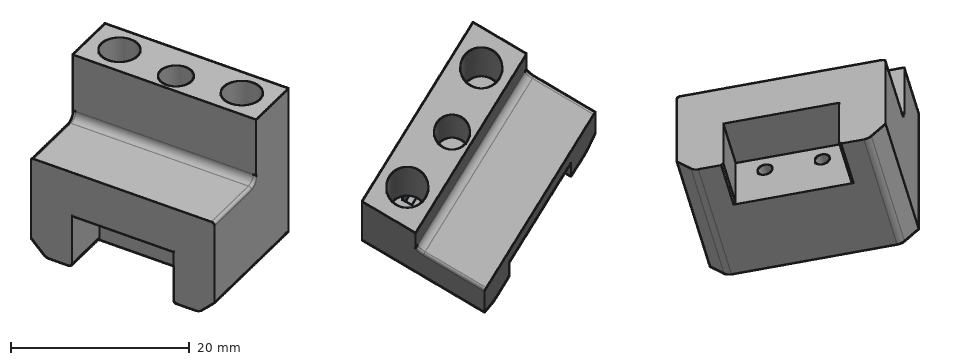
import cadquery as cq
import math

width = 24.0
depth = 16.0
height = 21.7

upright_thickness = 7.0
ledge_height = 13.0
corner_fillet = 1.0

ledge_edge_round = 0.4
taper_end_drop = 0.02
waste_margin = 0.25

bottom_chamfer = 2.0
bottom_chamfer_round = 1.2

slot_width = 13.3
slot_height = 7.0
slot_depth = 6.0
slot_edge_chamfer = 0.25

side_hole_diameter = 4.7
side_hole_spacing = 15.98
side_hole_from_back = 3.5
side_hole_floor = slot_height
middle_hole_diameter = 4.0
middle_hole_from_back = 4.5
middle_hole_floor = 10.0

pocket_from_back = 2.0
pocket_thickness = 1.3
pocket_floor = 3.0

small_hole_diameter = 1.7
small_hole_spacing = 6.58
small_hole_height = 5.0

half_width = width / 2
wall_y = depth - upright_thickness
fillet_start_y = wall_y - corner_fillet
fillet_center_z = ledge_height + corner_fillet


def make_body():
    """L-shaped block with a filleted inner corner and bevelled bottom edges."""
    fillet_mid_y = fillet_start_y + corner_fillet * math.sin(math.pi / 4)
    fillet_mid_z = fillet_center_z - corner_fillet * math.cos(math.pi / 4)
    body = (
        cq.Workplane("YZ", origin=(-half_width, 0, 0))
        .lineTo(depth, 0)
        .lineTo(depth, height)
        .lineTo(wall_y, height)
        .lineTo(wall_y, fillet_center_z)
        .threePointArc((fillet_mid_y, fillet_mid_z), (fillet_start_y, ledge_height))
        .lineTo(0, ledge_height)
        .close()
        .extrude(width)
    )
    body = body.edges("|Y and <Z").chamfer(bottom_chamfer)
    return body.faces("<Z").edges("|Y").fillet(bottom_chamfer_round)


def round_waste(sketch, drop):
    """Outline of the waste outside an edge round, with the sharp edge at the sketch origin.

    The round is always ledge_edge_round wide and reaches the given drop down the side face.
    """
    return (
        sketch.moveTo(ledge_edge_round, 0)
        .ellipseArc(ledge_edge_round, drop, 90, 180)
        .lineTo(-waste_margin, -drop)
        .lineTo(-waste_margin, waste_margin)
        .lineTo(ledge_edge_round, waste_margin)
        .close()
    )


def make_edge_waste():
    """Waste along the left ledge edge; it tapers off up the inner corner fillet."""
    straight = round_waste(
        cq.Workplane("XZ", origin=(-half_width, 0, ledge_height)), ledge_edge_round
    ).extrude(-fillet_start_y)

    ledge_end = cq.Plane((-half_width, fillet_start_y, ledge_height), (1, 0, 0), (0, -1, 0))
    wall_end = cq.Plane((-half_width, wall_y, fillet_center_z), (1, 0, 0), (0, 0, -1))
    path = (
        cq.Workplane("YZ", origin=(-half_width, 0, 0))
        .moveTo(fillet_start_y, ledge_height)
        .radiusArc((wall_y, fillet_center_z), -corner_fillet)
    )
    ledge_wire = round_waste(cq.Workplane(ledge_end), ledge_edge_round).val()
    wall_wire = round_waste(cq.Workplane(wall_end), taper_end_drop).val()
    tapered = cq.Solid.sweep_multi([ledge_wire, wall_wire], path.val())
    return straight.union(cq.Workplane(tapered))


def make_slot():
    """Slot with small bevels where its sides meet the bottom."""
    half_slot = slot_width / 2
    half_mouth = half_slot + slot_edge_chamfer
    return (
        cq.Workplane("XZ")
        .moveTo(-half_mouth, 0)
        .lineTo(half_mouth, 0)
        .lineTo(half_slot, slot_edge_chamfer)
        .lineTo(half_slot, slot_height)
        .lineTo(-half_slot, slot_height)
        .lineTo(-half_slot, slot_edge_chamfer)
        .close()
        .extrude(-slot_depth)
    )


def make_top_hole(x, from_back, diameter, floor):
    """Vertical hole from the top face down to the given floor height."""
    return (
        cq.Workplane("XY", origin=(x, depth - from_back, floor))
        .circle(diameter / 2)
        .extrude(height - floor)
    )


def make_cross_pocket():
    """Closed rectangular pocket that joins the floors of the two side holes."""
    front_y = depth - pocket_from_back - pocket_thickness
    pocket_height = side_hole_floor - pocket_floor
    return cq.Workplane("XY", origin=(0, front_y, pocket_floor)).box(
        slot_width, pocket_thickness, pocket_height, centered=(True, False, False)
    )


def make_small_hole(x):
    """Horizontal hole from the slot's back wall to the far side of the pocket."""
    length = depth - pocket_from_back - slot_depth
    return (
        cq.Workplane("XZ", origin=(x, slot_depth, small_hole_height))
        .circle(small_hole_diameter / 2)
        .extrude(-length)
    )


edge_waste = make_edge_waste()
result = make_body().cut(edge_waste).cut(edge_waste.mirror("YZ"))
result = result.cut(make_slot()).cut(make_cross_pocket())
result = result.cut(
    make_top_hole(0, middle_hole_from_back, middle_hole_diameter, middle_hole_floor)
)
for side in (-1, 1):
    result = result.cut(
        make_top_hole(
            side * side_hole_spacing / 2, side_hole_from_back, side_hole_diameter, side_hole_floor
        )
    )
    result = result.cut(make_small_hole(side * small_hole_spacing / 2))